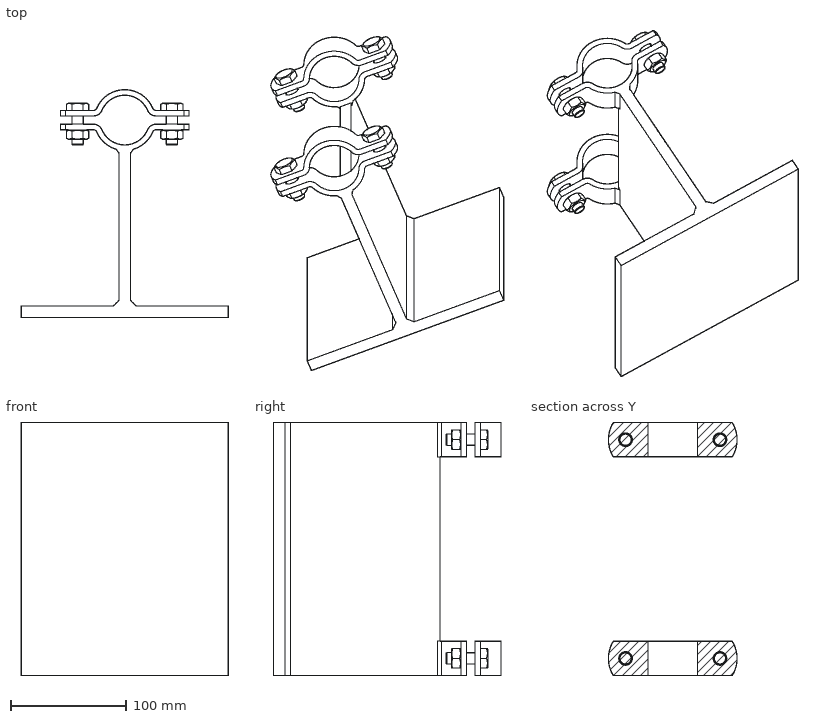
import math

import cadquery as cq

PLATE_WIDTH = 180.0
PLATE_THICKNESS = 10.0
HEIGHT = 220.0
TOTAL_DEPTH = 198.0
WEB_THICKNESS = 10.0
PLATE_WELD_LEG = 5.0
CLAMP_WELD_LEG = 2.5

STRAP_THICKNESS = 5.0
STRAP_HEIGHT = 30.0
BORE_RADIUS = 21.5
OUTER_RADIUS = BORE_RADIUS + STRAP_THICKNESS
STRAP_GAP = 7.0
STRAP_LENGTH = 112.0
EAR_END_RADIUS = 28.0
BEND_INNER_RADIUS = 3.0
BEND_OUTER_RADIUS = BEND_INNER_RADIUS + STRAP_THICKNESS

BOLT_SPACING = 82.0
BOLT_DIAMETER = 10.0
BOLT_LENGTH = 30.0
BOLT_TIP_DIAMETER = 9.19
BOLT_TIP_LENGTH = 0.7
HOLE_DIAMETER = 11.5
HEX_ACROSS_FLATS = 17.0
HEX_ACROSS_CORNERS = HEX_ACROSS_FLATS / math.cos(math.radians(30))
HEX_FACE_DIAMETER = 15.4
HEX_CHAMFER_ANGLE = 30.0
HEAD_HEIGHT = 6.4
NUT_HEIGHT = 8.4

EAR_INNER_Y = STRAP_GAP / 2
EAR_OUTER_Y = EAR_INNER_Y + STRAP_THICKNESS
WEB_END_Y = -OUTER_RADIUS
PLATE_BACK_Y = OUTER_RADIUS - TOTAL_DEPTH
PLATE_FACE_Y = PLATE_BACK_Y + PLATE_THICKNESS
CLAMP_BASES_Z = (0.0, HEIGHT - STRAP_HEIGHT)


def polar(center, radius, angle):
    """Point at a distance and angle (radians) from a center."""
    return (center[0] + radius * math.cos(angle), center[1] + radius * math.sin(angle))


def flip_x(point):
    return (-point[0], point[1])


def bracket():
    """Plate and web as one profile, with 45 degree welds at the root of the web."""
    half_plate = PLATE_WIDTH / 2
    half_web = WEB_THICKNESS / 2
    right_side = [
        (half_plate, PLATE_BACK_Y),
        (half_plate, PLATE_FACE_Y),
        (half_web + PLATE_WELD_LEG, PLATE_FACE_Y),
        (half_web, PLATE_FACE_Y + PLATE_WELD_LEG),
        (half_web, WEB_END_Y),
    ]
    left_side = [flip_x(point) for point in reversed(right_side)]
    return cq.Workplane("XY").polyline(right_side + left_side).close().extrude(HEIGHT)


def strap():
    """Strap on the +Y side: half ring, two bends and two flat ears with round ends."""
    bend_y = EAR_OUTER_Y + BEND_INNER_RADIUS
    ring_angle = math.asin(bend_y / (OUTER_RADIUS + BEND_INNER_RADIUS))
    bend = polar((0, 0), OUTER_RADIUS + BEND_INNER_RADIUS, ring_angle)
    toward_ring = ring_angle + math.pi
    toward_ear = 1.5 * math.pi
    bend_mid_angle = (toward_ring + toward_ear) / 2
    half_length = STRAP_LENGTH / 2

    bore_end = polar((0, 0), BORE_RADIUS, ring_angle)
    ring_end = polar((0, 0), OUTER_RADIUS, ring_angle)
    bend_outside_mid = polar(bend, BEND_OUTER_RADIUS, bend_mid_angle)
    bend_inside_mid = polar(bend, BEND_INNER_RADIUS, bend_mid_angle)
    ear_inner_start = (bend[0], EAR_INNER_Y)
    ear_outer_start = (bend[0], EAR_OUTER_Y)

    body = (
        cq.Workplane("XY")
        .moveTo(half_length, EAR_INNER_Y)
        .lineTo(*ear_inner_start)
        .threePointArc(bend_outside_mid, bore_end)
        .threePointArc((0, BORE_RADIUS), flip_x(bore_end))
        .threePointArc(flip_x(bend_outside_mid), flip_x(ear_inner_start))
        .lineTo(-half_length, EAR_INNER_Y)
        .lineTo(-half_length, EAR_OUTER_Y)
        .lineTo(*flip_x(ear_outer_start))
        .threePointArc(flip_x(bend_inside_mid), flip_x(ring_end))
        .threePointArc((0, OUTER_RADIUS), ring_end)
        .threePointArc(bend_inside_mid, ear_outer_start)
        .lineTo(half_length, EAR_OUTER_Y)
        .close()
        .extrude(STRAP_HEIGHT)
    )

    half_height = STRAP_HEIGHT / 2
    end_sagitta = EAR_END_RADIUS - math.sqrt(EAR_END_RADIUS**2 - half_height**2)
    corner_x = half_length - end_sagitta
    silhouette = (
        cq.Workplane("XZ")
        .moveTo(-corner_x, 0)
        .lineTo(corner_x, 0)
        .threePointArc((half_length, half_height), (corner_x, STRAP_HEIGHT))
        .lineTo(-corner_x, STRAP_HEIGHT)
        .threePointArc((-half_length, half_height), (-corner_x, 0))
        .close()
        .extrude(OUTER_RADIUS, both=True)
    )
    holes = (
        cq.Workplane("XZ")
        .pushPoints([(-BOLT_SPACING / 2, half_height), (BOLT_SPACING / 2, half_height)])
        .circle(HOLE_DIAMETER / 2)
        .extrude(OUTER_RADIUS, both=True)
    )
    return body.intersect(silhouette).cut(holes)


def clamp_weld():
    """Weld wedge between the web end and the ring, filling the gap under the curve."""
    half_web = WEB_THICKNESS / 2
    toe_x = half_web + CLAMP_WELD_LEG
    toe_y = -math.sqrt(OUTER_RADIUS**2 - toe_x**2)
    root_y = WEB_END_Y - CLAMP_WELD_LEG
    return (
        cq.Workplane("XY")
        .polyline([(toe_x, toe_y), (half_web, root_y), (-half_web, root_y), (-toe_x, toe_y)])
        .close()
        .extrude(STRAP_HEIGHT)
    )


def hexagon(height, chamfer_both_ends):
    """Hexagon along +Z with corners on X; the far end is chamfered, optionally both."""
    corner_radius = HEX_ACROSS_CORNERS / 2
    face_radius = HEX_FACE_DIAMETER / 2
    drop = (corner_radius - face_radius) * math.tan(math.radians(HEX_CHAMFER_ANGLE))
    prism = cq.Workplane("XY").polygon(6, HEX_ACROSS_CORNERS).extrude(height)
    envelope = cq.Workplane("XZ").moveTo(0, 0)
    if chamfer_both_ends:
        envelope = envelope.lineTo(face_radius, 0).lineTo(corner_radius, drop)
    else:
        envelope = envelope.lineTo(corner_radius, 0)
    envelope = (
        envelope.lineTo(corner_radius, height - drop)
        .lineTo(face_radius, height)
        .lineTo(0, height)
        .close()
        .revolve(360, (0, 0), (0, 1))
    )
    return prism.intersect(envelope)


def bolt_with_nut():
    """Bolt along Y, head on the +Y ear and nut on the -Y ear."""
    tip_y = EAR_OUTER_Y - BOLT_LENGTH
    shank = (
        cq.Workplane("XY")
        .moveTo(0, EAR_OUTER_Y)
        .lineTo(BOLT_DIAMETER / 2, EAR_OUTER_Y)
        .lineTo(BOLT_DIAMETER / 2, tip_y + BOLT_TIP_LENGTH)
        .lineTo(BOLT_TIP_DIAMETER / 2, tip_y)
        .lineTo(0, tip_y)
        .close()
        .revolve(360, (0, 0), (0, 1))
    )
    head = hexagon(HEAD_HEIGHT, False).rotate((0, 0, 0), (1, 0, 0), -90)
    nut = hexagon(NUT_HEIGHT, True).rotate((0, 0, 0), (1, 0, 0), 90)
    bolt = shank.union(head.translate((0, EAR_OUTER_Y, 0)))
    return bolt.union(nut.translate((0, -EAR_OUTER_Y, 0)))


def clamp():
    """Both straps, the weld to the web and the two bolts, standing on Z = 0."""
    far_strap = strap()
    near_strap = far_strap.mirror("XZ")
    assembly = near_strap.union(clamp_weld())
    bolt = bolt_with_nut()
    for side in (-1, 1):
        assembly = assembly.union(bolt.translate((side * BOLT_SPACING / 2, 0, STRAP_HEIGHT / 2)))
    return assembly.union(far_strap)


result = bracket()
for base_z in CLAMP_BASES_Z:
    result = result.union(clamp().translate((0, 0, base_z)))